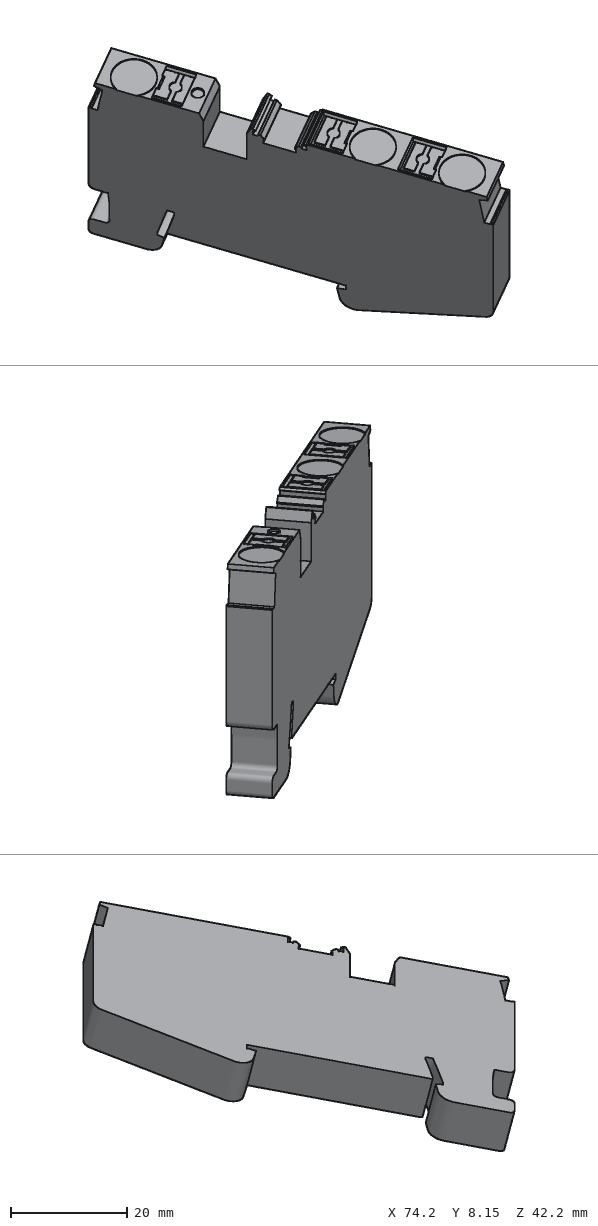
import cadquery as cq
import math


LENGTH = 74.2
THICKNESS = 8.15
HEIGHT = 42.2

SHOULDER_Z = 34.85
RIDGE_PEAK = 0.3
RIDGE_HEIGHT = 0.15
NECK_BASE = 1.65
NECK_TOP = 2.55
NECK_TOP_Z = 40.65
LIP_TIP = 1.0
LIP_TIP_Z = 41.3
LIP_TOP = 1.2

SLOT_LEFT = 21.1
SLOT_RIGHT = 29.0
SLOT_FLOOR_Z = 33.25
SLOT_CHAMFER_Z = 40.35
SLOT_MOUTH_LEFT = 20.3

GROOVE_CENTRE = 35.05
GROOVE_FLOOR_Z = 39.1
GROOVE_FLOOR_HALF = 3.0
GROOVE_CATCH_HALF = 2.75
GROOVE_UNDERCUT_Z = 39.85
GROOVE_CATCH_Z = 40.2
GROOVE_CATCH_BOTTOM_Z = 40.0
STEP_INNER_HALF = 3.5
STEP_OUTER_HALF = 3.9
STEP_TOP_Z = 41.1
NOTCH_INNER_HALF = 4.05
NOTCH_OUTER_HALF = 4.9
NOTCH_Z = 40.65
HOOK_UNDER_Z = 41.55
HOOK_TIP_HALF = 4.4
HOOK_TIP_Z = 41.85
HOOK_TOP_HALF = 4.9
HOOK_BACK = 29.8

RIGHT_WALL_BOTTOM_Z = 9.1
RIGHT_CORNER_RADIUS = 2.2
RAIL_FACE_Z = 6.0
RAIL_END = 47.2
RAIL_END_Z = 4.95
FIXED_FOOT_TIP = 45.55
FIXED_FOOT_TIP_Z = 4.6
FIXED_FOOT_LEFT = 46.4
UNDERSIDE_START = 49.1
FIXED_FOOT_RADIUS = 2.65

SLIT_RIGHT_BOTTOM = 14.3
SLIT_RIGHT_TOP = 15.85
SLIT_LEFT_TOP = 14.4
SLIT_LEFT_BOTTOM = 12.5
SLIT_TOP_Z = 12.5
SLIT_LEFT_BOTTOM_Z = 4.9
SPRING_FOOT_TIP = 13.9
SPRING_FOOT_TIP_Z = 4.6
SPRING_FOOT_CORNER = 13.1
SPRING_FOOT_RADIUS = 3.0
TOE_TOP_Z = 4.05
RECESS_X = 3.85
RECESS_TOP_X = 3.6
RECESS_BEND_Z = 9.7
RECESS_BEND_RADIUS = 5.0
RECESS_TOP_Z = 12.5
BODY_CORNER_RADIUS = 1.2
RECESS_FILLET_RADIUS = 0.9
TOE_RADIUS = 1.0
SLIT_RADIUS = 0.4

DISC_RADIUS = 4.0
DISC_Y = 3.52
DISC_DEPTH = 0.2
DISC_X = (7.05, 50.85, 67.2)

WINDOW_PITCH = 7.42
WINDOW_FRONT_Y = 0.4
WINDOW_BACK_Y = 7.75
WINDOW_DISC_SIDE = 3.0
WINDOW_FAR_SIDE = 3.2
WINDOW_DEPTH = 0.4
WINDOW_BACK_SLOPE = 0.45
WINDOW_FRONT_SLOPE = 0.2
WINDOW_FAR_SLOPE = 0.3
PANEL_FRONT_Y = 1.1
PANEL_BACK_Y = 7.1
PANEL_FAR_SIDE = 2.45
PANEL_HEIGHT = 0.25
KEYHOLE_WIDTH = 0.9
KEYHOLE_DIAMETER = 2.2
KEYHOLE_Y = 4.1
RIB_LENGTH = 2.9
RIB_TOE = 2.5
RIB_CREST = 2.8

TEST_HOLE_DIAMETER = 2.2
TEST_HOLE_X = 18.55
TEST_HOLE_DEPTH = 0.4


def rounded_outline(corners):
    """Closed XZ wire through (x, z, radius) corners, each rounded where its radius is not zero."""
    path = cq.Workplane("XZ")
    started = False
    for i, (x, z, radius) in enumerate(corners):
        corner = cq.Vector(x, z)
        before = cq.Vector(*corners[i - 1][:2]) - corner
        after = cq.Vector(*corners[(i + 1) % len(corners)][:2]) - corner
        half_angle = before.getAngle(after) / 2
        setback = radius / math.tan(half_angle)
        start = corner + before.normalized() * setback
        path = path.lineTo(start.x, start.y) if started else path.moveTo(start.x, start.y)
        started = True
        if radius:
            bisector = (before.normalized() + after.normalized()).normalized()
            middle = corner + bisector * (radius / math.sin(half_angle) - radius)
            end = corner + after.normalized() * setback
            path = path.threePointArc((middle.x, middle.y), (end.x, end.y))
    return path.close()


def end_corners():
    """Left upper end, from the shoulder up to the top face, as (distance from the end, z)."""
    return [
        (0, SHOULDER_Z),
        (RIDGE_PEAK, SHOULDER_Z + RIDGE_HEIGHT),
        (2 * RIDGE_PEAK, SHOULDER_Z),
        (NECK_BASE, SHOULDER_Z),
        (NECK_TOP, NECK_TOP_Z),
        (LIP_TIP, LIP_TIP_Z),
        (LIP_TOP, HEIGHT),
    ]


def groove_corners():
    """One side of the marker groove, from its hook down to the floor, as (half width, z)."""
    return [
        (HOOK_TOP_HALF, HEIGHT),
        (HOOK_TIP_HALF, HOOK_TIP_Z),
        (NOTCH_OUTER_HALF, HOOK_UNDER_Z),
        (NOTCH_OUTER_HALF, NOTCH_Z),
        (NOTCH_INNER_HALF, NOTCH_Z),
        (STEP_OUTER_HALF, STEP_TOP_Z),
        (STEP_INNER_HALF, STEP_TOP_Z),
        (GROOVE_CATCH_HALF, GROOVE_CATCH_Z),
        (GROOVE_CATCH_HALF, GROOVE_CATCH_BOTTOM_Z),
        (GROOVE_FLOOR_HALF, GROOVE_UNDERCUT_Z),
        (GROOVE_FLOOR_HALF, GROOVE_FLOOR_Z),
    ]


def make_body():
    corners = [(x, z, 0) for x, z in end_corners()]
    corners += [
        (SLOT_MOUTH_LEFT, HEIGHT, 0),
        (SLOT_LEFT, SLOT_CHAMFER_Z, 0),
        (SLOT_LEFT, SLOT_FLOOR_Z, 0),
        (SLOT_RIGHT, SLOT_FLOOR_Z, 0),
        (SLOT_RIGHT, SLOT_CHAMFER_Z, 0),
        (HOOK_BACK, HEIGHT, 0),
    ]
    corners += [(GROOVE_CENTRE - half, z, 0) for half, z in groove_corners()]
    corners += [(GROOVE_CENTRE + half, z, 0) for half, z in reversed(groove_corners())]
    corners += [(LENGTH - x, z, 0) for x, z in reversed(end_corners())]
    corners += [
        (LENGTH, RIGHT_WALL_BOTTOM_Z, RIGHT_CORNER_RADIUS),
        (UNDERSIDE_START, 0, FIXED_FOOT_RADIUS),
        (FIXED_FOOT_LEFT, 0, FIXED_FOOT_RADIUS),
        (FIXED_FOOT_TIP, FIXED_FOOT_TIP_Z, 0),
        (RAIL_END, RAIL_END_Z, 0),
        (RAIL_END, RAIL_FACE_Z, 0),
        (SLIT_RIGHT_BOTTOM, RAIL_FACE_Z, SLIT_RADIUS),
        (SLIT_RIGHT_TOP, SLIT_TOP_Z, SLIT_RADIUS),
        (SLIT_LEFT_TOP, SLIT_TOP_Z, SLIT_RADIUS),
        (SLIT_LEFT_BOTTOM, SLIT_LEFT_BOTTOM_Z, SLIT_RADIUS),
        (SPRING_FOOT_TIP, SPRING_FOOT_TIP_Z, 0),
        (SPRING_FOOT_CORNER, 0, SPRING_FOOT_RADIUS),
        (0, 0, TOE_RADIUS),
        (0, TOE_TOP_Z, TOE_RADIUS),
        (RECESS_X, TOE_TOP_Z, RECESS_FILLET_RADIUS),
        (RECESS_X, RECESS_BEND_Z, RECESS_BEND_RADIUS),
        (RECESS_TOP_X, RECESS_TOP_Z, 0),
        (0, RECESS_TOP_Z, BODY_CORNER_RADIUS),
    ]
    return rounded_outline(corners).extrude(-THICKNESS)


def box_between(x_range, y_range, z_range):
    """Box spanning the given ranges; each range may run in either direction."""
    sizes = [abs(r[1] - r[0]) for r in (x_range, y_range, z_range)]
    centre = tuple(sum(r) / 2 for r in (x_range, y_range, z_range))
    return cq.Workplane("XY").box(*sizes).translate(centre)


def top_cylinder(x, y, radius, depth):
    """Cylinder sunk into the top face."""
    return cq.Workplane("XY", origin=(x, y, HEIGHT - depth)).circle(radius).extrude(depth)


def make_window(with_ledge):
    """Material to remove for one window: a pocket with sloped walls, less two raised panels parted
    by a keyhole gap and a wedge-shaped rib. The keyhole is at X = 0 and the disc side is +X.
    Without a ledge the pocket ends at the far edge of the panels."""
    floor_z = HEIGHT - WINDOW_DEPTH
    panel_z = floor_z + PANEL_HEIGHT
    far_edge = -WINDOW_FAR_SIDE if with_ledge else -PANEL_FAR_SIDE
    far_slope = WINDOW_FAR_SLOPE if with_ledge else 0

    across = [
        (WINDOW_FRONT_Y, HEIGHT),
        (WINDOW_FRONT_Y + WINDOW_FRONT_SLOPE, floor_z),
        (WINDOW_BACK_Y - WINDOW_BACK_SLOPE, floor_z),
        (WINDOW_BACK_Y, HEIGHT),
    ]
    along = [
        (far_edge, HEIGHT),
        (far_edge + far_slope, floor_z),
        (WINDOW_DISC_SIDE, floor_z),
        (WINDOW_DISC_SIDE, HEIGHT),
    ]
    trough = cq.Workplane("YZ", origin=(far_edge, 0, 0)).polyline(across).close()
    trough = trough.extrude(WINDOW_DISC_SIDE - far_edge)
    pocket = trough.intersect(cq.Workplane("XZ").polyline(along).close().extrude(-THICKNESS))

    panel_ends = (PANEL_FRONT_Y, PANEL_BACK_Y)
    panels = box_between((-PANEL_FAR_SIDE, WINDOW_DISC_SIDE), panel_ends, (floor_z, panel_z))
    gap = box_between((-KEYHOLE_WIDTH / 2, KEYHOLE_WIDTH / 2), panel_ends, (floor_z, panel_z))
    panels = panels.cut(gap).cut(top_cylinder(0, KEYHOLE_Y, KEYHOLE_DIAMETER / 2, WINDOW_DEPTH))

    wedge = [
        (RIB_TOE, panel_z),
        (RIB_CREST, HEIGHT),
        (WINDOW_DISC_SIDE, HEIGHT),
        (WINDOW_DISC_SIDE, panel_z),
    ]
    rib_plane = cq.Workplane("XZ", origin=(0, KEYHOLE_Y - RIB_LENGTH / 2, 0))
    rib = rib_plane.polyline(wedge).close().extrude(-RIB_LENGTH)
    return pocket.cut(panels).cut(rib)


result = make_body()

for disc_x in DISC_X:
    result = result.cut(top_cylinder(disc_x, DISC_Y, DISC_RADIUS, DISC_DEPTH))

first_window = make_window(with_ledge=False).mirror("YZ")
result = result.cut(first_window.translate((DISC_X[0] + WINDOW_PITCH, 0, 0)))
for disc_x in DISC_X[1:]:
    result = result.cut(make_window(with_ledge=True).translate((disc_x - WINDOW_PITCH, 0, 0)))

result = result.cut(top_cylinder(TEST_HOLE_X, KEYHOLE_Y, TEST_HOLE_DIAMETER / 2, TEST_HOLE_DEPTH))